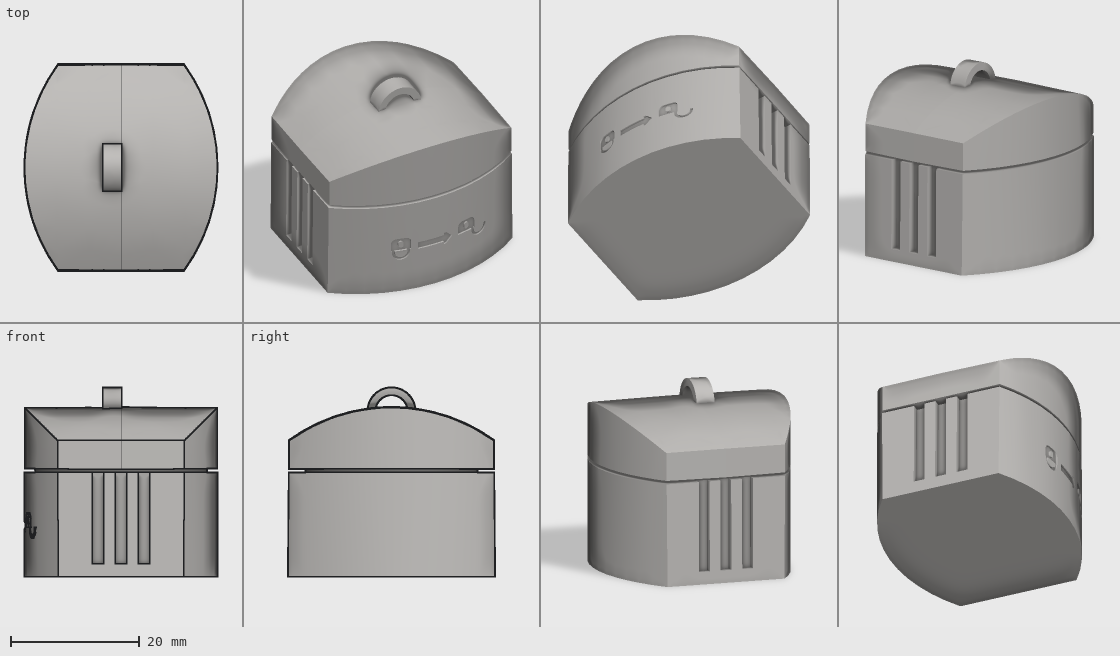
import cadquery as cq
import math

BULGE_RADIUS = 27.2
DRAFT_ANGLE = 0.5
FLAT_HALF_DEPTH = 16.0

BASE_HALF_WIDTH = 15.052
BASE_HEIGHT = 16.25

NECK_RADIUS = 13.4
NECK_GAP = 0.45
NECK_OVERLAP = 1.0

LID_HALF_WIDTH = 15.0
LID_WALL_HEIGHT = 4.55

LOOP_TOP = 29.49
LOOP_OUTER_RADIUS = 3.75
LOOP_INNER_RADIUS = 2.5
LOOP_LEFT = 2.85
LOOP_RIGHT = 0.15

GROOVE_COUNT = 3
GROOVE_WIDTH = 1.8
GROOVE_PITCH = 3.6
GROOVE_FLOOR = 2.0
GROOVE_DEPTH = 1.2

ENGRAVE_DEPTH = 0.3
LOCK_OFFSET = 5.7
LOCK_WIDTH = 3.15
LOCK_BOTTOM = 7.68
LOCK_HEIGHT = 2.27
LOCK_CORNER = 0.85
KEYHOLE_WIDTH = 0.8
KEYHOLE_HEIGHT = 1.13
SHACKLE_OUTER_RADIUS = 1.45
SHACKLE_INNER_RADIUS = 1.0
SHACKLE_LEG = 0.24
ARROW_HALF_LENGTH = 2.97
ARROW_HEIGHT = 8.03
ARROW_SHAFT_WIDTH = 1.22
ARROW_HEAD_WIDTH = 2.1
ARROW_HEAD_LENGTH = 1.49
ARROW_HEAD_FLAT = 0.44

CUT_MARGIN = 1.0

DRAFT_SLOPE = math.tan(math.radians(DRAFT_ANGLE))
BASE_FOOT_HALF_DEPTH = FLAT_HALF_DEPTH + BASE_HEIGHT * DRAFT_SLOPE
LID_BOTTOM = BASE_HEIGHT + NECK_GAP
DOME_EDGE = LID_BOTTOM + LID_WALL_HEIGHT
DOME_RISE = BULGE_RADIUS - math.sqrt(BULGE_RADIUS**2 - FLAT_HALF_DEPTH**2)
LOOP_CENTER = LOOP_TOP - LOOP_OUTER_RADIUS
MARK_LENGTH = BASE_HALF_WIDTH + CUT_MARGIN


def bowed_prism(half_width, height):
    """Upright prism with bowed +X and -X sides, deeper in Y than the base."""
    half_depth = BASE_FOOT_HALF_DEPTH + CUT_MARGIN
    sagitta = BULGE_RADIUS - math.sqrt(BULGE_RADIUS**2 - half_depth**2)
    corner = half_width - sagitta
    return (
        cq.Workplane("XY")
        .moveTo(-corner, -half_depth)
        .lineTo(corner, -half_depth)
        .threePointArc((half_width, 0), (corner, half_depth))
        .lineTo(-corner, half_depth)
        .threePointArc((-half_width, 0), (-corner, -half_depth))
        .close()
        .extrude(height)
    )


def make_base():
    """Base block with drafted flat ends and bowed sides."""
    drafted_slab = (
        cq.Workplane("YZ")
        .moveTo(-BASE_FOOT_HALF_DEPTH, 0)
        .lineTo(BASE_FOOT_HALF_DEPTH, 0)
        .lineTo(FLAT_HALF_DEPTH, BASE_HEIGHT)
        .lineTo(-FLAT_HALF_DEPTH, BASE_HEIGHT)
        .close()
        .extrude(BASE_HALF_WIDTH + CUT_MARGIN, both=True)
    )
    return bowed_prism(BASE_HALF_WIDTH, BASE_HEIGHT).intersect(drafted_slab)


def make_groove(x):
    """Cutter for one grip groove at the -Y end, its back parallel to the drafted face."""
    floor_face = -(BASE_FOOT_HALF_DEPTH - GROOVE_FLOOR * DRAFT_SLOPE)
    return (
        cq.Workplane("YZ")
        .workplane(offset=x)
        .moveTo(-BASE_FOOT_HALF_DEPTH, GROOVE_FLOOR)
        .lineTo(floor_face + GROOVE_DEPTH, GROOVE_FLOOR)
        .lineTo(-FLAT_HALF_DEPTH + GROOVE_DEPTH, BASE_HEIGHT)
        .lineTo(-BASE_FOOT_HALF_DEPTH, BASE_HEIGHT)
        .close()
        .extrude(GROOVE_WIDTH / 2, both=True)
    )


def cut_grooves(body):
    """Cut the grip grooves, open at the top, into both flat ends."""
    for index in range(GROOVE_COUNT):
        groove = make_groove((index - (GROOVE_COUNT - 1) / 2) * GROOVE_PITCH)
        body = body.cut(groove).cut(groove.mirror("XZ"))
    return body


def lid_half(direction):
    """Half of the lid slab, tapering away from the X = 0 plane."""
    return (
        cq.Workplane("YZ")
        .moveTo(-FLAT_HALF_DEPTH, LID_BOTTOM)
        .lineTo(FLAT_HALF_DEPTH, LID_BOTTOM)
        .lineTo(FLAT_HALF_DEPTH, DOME_EDGE)
        .threePointArc((0, DOME_EDGE + DOME_RISE), (-FLAT_HALF_DEPTH, DOME_EDGE))
        .close()
        .extrude(direction * (LID_HALF_WIDTH + CUT_MARGIN), taper=DRAFT_ANGLE)
    )


def make_lid():
    """Domed lid with the same bowed sides as the base."""
    outline = bowed_prism(LID_HALF_WIDTH, LOOP_TOP)
    return outline.intersect(lid_half(1)).union(outline.intersect(lid_half(-1)))


def make_neck():
    """Round neck joining the base and the lid."""
    return (
        cq.Workplane("XY")
        .workplane(offset=BASE_HEIGHT - NECK_OVERLAP)
        .circle(NECK_RADIUS)
        .extrude(NECK_GAP + 2 * NECK_OVERLAP)
    )


def loop_part(signed_length):
    """Half ring from X = 0 to the signed length, tapering away from X = 0."""
    return (
        cq.Workplane("YZ")
        .moveTo(LOOP_OUTER_RADIUS, LOOP_CENTER)
        .threePointArc((0, LOOP_TOP), (-LOOP_OUTER_RADIUS, LOOP_CENTER))
        .lineTo(-LOOP_INNER_RADIUS, LOOP_CENTER)
        .threePointArc((0, LOOP_CENTER + LOOP_INNER_RADIUS), (LOOP_INNER_RADIUS, LOOP_CENTER))
        .close()
        .extrude(signed_length, taper=DRAFT_ANGLE)
    )


def make_loop():
    """Half-ring loop on top of the dome."""
    return loop_part(-LOOP_LEFT).union(loop_part(LOOP_RIGHT))


def marking_plane():
    """Sketch plane facing -X, local x along -Y and local y along Z."""
    return cq.Workplane(cq.Plane(origin=(0, 0, 0), xDir=(0, -1, 0), normal=(-1, 0, 0)))


def padlock(center, shackle_shift):
    """Padlock symbol, shackle down, as a bar reaching past the -X side."""
    body = (
        marking_plane()
        .center(center, LOCK_BOTTOM + LOCK_HEIGHT / 2)
        .rect(LOCK_WIDTH, LOCK_HEIGHT)
        .extrude(MARK_LENGTH)
        .edges("|X and >Z")
        .fillet(LOCK_CORNER)
    )
    keyhole = (
        marking_plane()
        .center(center, LOCK_BOTTOM + LOCK_HEIGHT / 2)
        .slot2D(KEYHOLE_HEIGHT, KEYHOLE_WIDTH, angle=90)
        .extrude(MARK_LENGTH)
    )
    outer = SHACKLE_OUTER_RADIUS
    inner = SHACKLE_INNER_RADIUS
    shackle = (
        marking_plane()
        .center(center + shackle_shift, LOCK_BOTTOM - SHACKLE_LEG)
        .moveTo(-outer, SHACKLE_LEG)
        .lineTo(-outer, 0)
        .threePointArc((0, -outer), (outer, 0))
        .lineTo(outer, SHACKLE_LEG)
        .lineTo(inner, SHACKLE_LEG)
        .lineTo(inner, 0)
        .threePointArc((0, -inner), (-inner, 0))
        .lineTo(-inner, SHACKLE_LEG)
        .close()
        .extrude(MARK_LENGTH)
    )
    return body.cut(keyhole).union(shackle)


def arrow():
    """Arrow symbol pointing towards -Y, as a bar reaching past the -X side."""
    head_start = ARROW_HALF_LENGTH - ARROW_HEAD_LENGTH
    shaft = ARROW_SHAFT_WIDTH / 2
    head = ARROW_HEAD_WIDTH / 2
    return (
        marking_plane()
        .center(0, ARROW_HEIGHT)
        .moveTo(-ARROW_HALF_LENGTH, -shaft)
        .lineTo(head_start, -shaft)
        .lineTo(head_start, -head)
        .lineTo(head_start + ARROW_HEAD_FLAT, -head)
        .lineTo(ARROW_HALF_LENGTH, 0)
        .lineTo(head_start + ARROW_HEAD_FLAT, head)
        .lineTo(head_start, head)
        .lineTo(head_start, shaft)
        .lineTo(-ARROW_HALF_LENGTH, shaft)
        .close()
        .extrude(MARK_LENGTH)
    )


def engrave_symbols(body):
    """Engrave closed lock, arrow and open lock to an even depth in the -X side."""
    core = bowed_prism(BASE_HALF_WIDTH - ENGRAVE_DEPTH, BASE_HEIGHT)
    open_shift = SHACKLE_OUTER_RADIUS + SHACKLE_INNER_RADIUS
    symbols = (padlock(-LOCK_OFFSET, 0), arrow(), padlock(LOCK_OFFSET, open_shift))
    for symbol in symbols:
        body = body.cut(symbol.cut(core))
    return body


base = engrave_symbols(cut_grooves(make_base()))
result = base.union(make_neck()).union(make_lid()).union(make_loop())